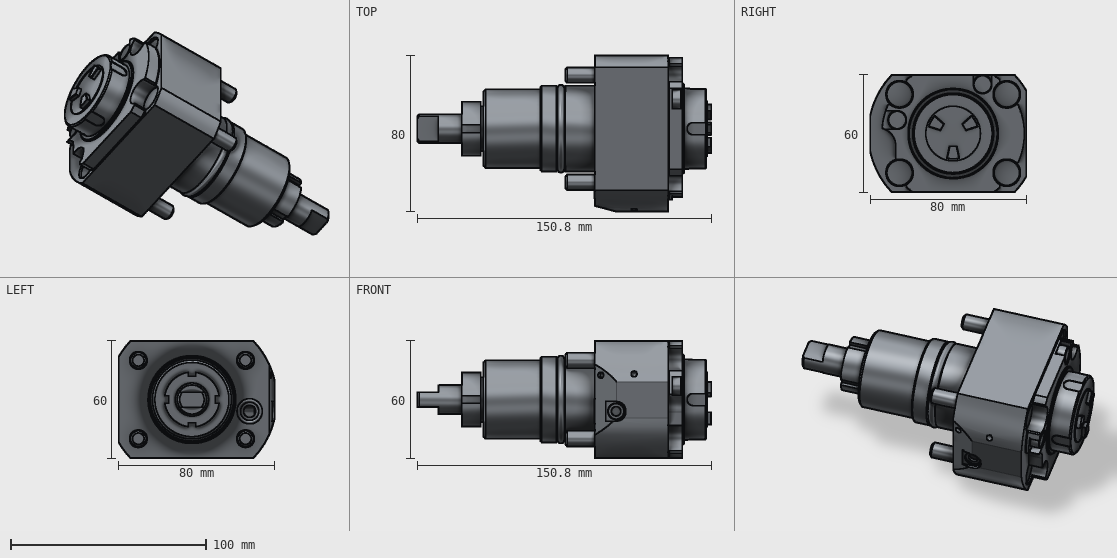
import cadquery as cq
import math


TOTAL_LENGTH = 150.8

BLOCK_LENGTH = 37.5
BLOCK_HEIGHT = 60.0
BLOCK_BACK_Y = 37.5
BLOCK_FRONT_Y = -42.5
FRONT_FLAT_HEIGHT = 18.4
BLOCK_RADIUS = math.hypot(BLOCK_FRONT_Y, FRONT_FLAT_HEIGHT / 2)
FACET_LENGTH = 11.0
FACET_ANGLE = 15

SLEEVE_START = -57.2
SLEEVE_DIAMETER = 40.4
SLEEVE_CHAMFER = 1.2
PILOT_START = -27.9
PILOT_DIAMETER = 44.0
PILOT_CHAMFER = 0.8
GROOVE_START = -19.8
GROOVE_END = -15.1
ORING_SECTION = 3.5
ORING_DIAMETER = 45.1
SPINDLE_BORE = 21.7

FLANGE_END = 44.8
FLANGE_RADIUS = 36.5
FLANGE_GAP_WIDTH = 0.5
FLANGE_GAP_DEPTH = 0.5
FLANGE_FLAT_Y = -29.4
FLANGE_FLAT_TOP_Z = -6.2
FLANGE_FLAT_FILLET = 9.0
CORNER_NOTCH_Y = 24.0
CORNER_NOTCH_Z = 14.8
LIP_DIAMETER = 46.3
LIP_LENGTH = 0.9
LIP_CHAMFER = 0.6

CAP_HEAD_DIAMETER = 9.5
CAP_HEAD_LENGTH = 4.8
CAP_HEAD_CHAMFER = 0.3
CAP_SEAT_X = 39.5
CAP_HEAD_CENTRES = [(15.1, 25.2), (-28.7, 7.0)]

SCREW_Y = 27.5
SCREW_Z = 20.0
SCREW_DIAMETER = 8.0
SCREW_TIP_DIAMETER = 5.9
SCREW_TIP_X = -15.2
SCREW_HOLE = 9.0
SCREW_HEAD_DIAMETER = 13.0
SCREW_HEAD_LENGTH = 8.0
SCREW_HEAD_BORE = 14.0
SCREW_SEAT_X = 28.7

INLET_Y = -29.5
INLET_Z = -6.0
INLET_RECESS_DIAMETER = 13.0
INLET_RECESS_DEPTH = 1.4
INLET_HOLE = 6.2
CROSS_HOLE = 7.0
CROSS_HOLE_START_Y = -32.0
CROSS_HOLE_END_Y = -25.6
SEAL_SECTION = 1.8

PLUG_X = 10.9
PLUG_SEAT_Y = -40.5
PLUG_SEAT_WIDTH = 10.1
PLUG_SEAT_LEFT = 5.5
PLUG_RIM_DIAMETER = 8.5
PLUG_DIAMETER = 8.0
PLUG_RECESS_DEPTH = 0.6
PLUG_SOCKET = 4.8
PLUG_SOCKET_DEPTH = 2.3
PIN_HOLE = 3.0
PIN_HOLE_DEPTH = 4.5
PIN_POINT_LENGTH = 0.9
FACET_PIN_X = 3.0
FACET_PIN_Z = 12.5
SIDE_PIN_X = 20.0
SIDE_PIN_Z = 13.1

SHAFT_TIP = -91.1
SHAFT_DIAMETER = 15.0
SHAFT_TIP_DIAMETER = 12.5
SHAFT_CHAMFER = 1.0
TANG_LENGTH = 10.9
TANG_THICKNESS = 7.7
COLLAR_START = -68.2
COLLAR_END = -58.4
COLLAR_DIAMETER = 28.0
COLLAR_BORE = 17.0
COLLAR_BORE_DEPTH = 1.0
NOTCH_WIDTH = 3.9
NOTCH_FLOOR_RADIUS = 11.9
NECK_DIAMETER = 23.0
NOSE_END = 57.2
NOSE_DIAMETER = 41.5
NOSE_CHAMFER = 0.8
SPANNER_WIDTH = 6.2
SPANNER_START = 47.2
SPANNER_FLOOR_RADIUS = 20.2
FACE_DIAMETER = 28.0
FACE_LENGTH = 0.5
JAW_END = SHAFT_TIP + TOTAL_LENGTH
JAW_OUTER_RADIUS = 13.0
JAW_INNER_RADIUS = 6.5
JAW_WIDTH = 6.5
JAW_INNER_WIDTH = 3.9
JAW_CHAMFER = 0.3

NOSE_START = FLANGE_END + LIP_LENGTH


def disc(x_start, x_end, diameter, y=0, z=0):
    """Cylinder along X from x_start to x_end, centred at (y, z)."""
    plane = cq.Workplane("YZ", origin=(x_start, y, z))
    return plane.circle(diameter / 2).extrude(x_end - x_start)


def ring(x, y, z, outer_diameter, section):
    """O-ring whose axis is parallel to X."""
    centre_radius = (outer_diameter - section) / 2
    centre = cq.Vector(x, y, z)
    return cq.Workplane(cq.Solid.makeTorus(centre_radius, section / 2, centre, cq.Vector(1, 0, 0)))


def block():
    width = BLOCK_BACK_Y - BLOCK_FRONT_Y
    middle_y = (BLOCK_BACK_Y + BLOCK_FRONT_Y) / 2
    box = cq.Workplane("XY").box(BLOCK_LENGTH, width, BLOCK_HEIGHT)
    box = box.translate((BLOCK_LENGTH / 2, middle_y, 0))
    return box.intersect(disc(0, BLOCK_LENGTH, 2 * BLOCK_RADIUS))


def facet_cut():
    """Wedge that slopes the -Y side back towards the rear face."""
    rise = FACET_LENGTH * math.tan(math.radians(FACET_ANGLE))
    corners = [(0, BLOCK_FRONT_Y), (FACET_LENGTH, BLOCK_FRONT_Y), (0, BLOCK_FRONT_Y + rise)]
    return cq.Workplane("XY").polyline(corners).close().extrude(BLOCK_HEIGHT / 2, both=True)


def sleeve():
    """Stepped sleeve behind the block, grooved for the large O-ring."""
    body = disc(SLEEVE_START, 0, SLEEVE_DIAMETER).faces("<X").chamfer(SLEEVE_CHAMFER)
    pilot = disc(PILOT_START, 0, PILOT_DIAMETER).faces("<X").chamfer(PILOT_CHAMFER)
    groove_floor = ORING_DIAMETER - 2 * ORING_SECTION
    groove = disc(GROOVE_START, GROOVE_END, PILOT_DIAMETER).cut(disc(GROOVE_START, GROOVE_END, groove_floor))
    return body.union(pilot).cut(groove)


def flange_disc(x_start, x_end, inset=0):
    """Round plate cut flat at the top and bottom, set in from the flange outline by inset."""
    length = x_end - x_start
    plate = disc(x_start, x_end, 2 * (FLANGE_RADIUS - inset))
    trim = cq.Workplane("XY").box(length, 2 * FLANGE_RADIUS, BLOCK_HEIGHT - 2 * inset)
    return plate.intersect(trim.translate((x_start + length / 2, 0, 0)))


def corner_notch(y_side, z_side):
    """Room for a mounting screw head: its bore, opened to the flange edge by two flat walls."""
    bore = disc(BLOCK_LENGTH, FLANGE_END, SCREW_HEAD_BORE, y_side * SCREW_Y, z_side * SCREW_Z)
    opening = cq.Workplane("YZ", origin=(BLOCK_LENGTH, 0, 0)).moveTo(y_side * SCREW_Y, z_side * SCREW_Z)
    opening = opening.lineTo(y_side * CORNER_NOTCH_Y, z_side * SCREW_Z)
    opening = opening.lineTo(y_side * CORNER_NOTCH_Y, z_side * FLANGE_RADIUS)
    opening = opening.lineTo(y_side * FLANGE_RADIUS, z_side * FLANGE_RADIUS)
    opening = opening.lineTo(y_side * FLANGE_RADIUS, z_side * CORNER_NOTCH_Z)
    opening = opening.lineTo(y_side * SCREW_Y, z_side * CORNER_NOTCH_Z)
    return bore.union(opening.close().extrude(FLANGE_END - BLOCK_LENGTH))


def flange_flat_cut():
    """Flat on the -Y side of the flange, running out upwards in a concave arc."""
    length = FLANGE_END - BLOCK_LENGTH
    flat = cq.Workplane("XY").box(length, FLANGE_RADIUS, FLANGE_RADIUS, centered=False)
    flat = flat.translate((BLOCK_LENGTH, FLANGE_FLAT_Y - FLANGE_RADIUS, FLANGE_FLAT_TOP_Z - FLANGE_RADIUS))
    arc_y = FLANGE_FLAT_Y - FLANGE_FLAT_FILLET
    return flat.union(disc(BLOCK_LENGTH, FLANGE_END, 2 * FLANGE_FLAT_FILLET, arc_y, FLANGE_FLAT_TOP_Z))


def flange():
    gap_end = BLOCK_LENGTH + FLANGE_GAP_WIDTH
    plate = flange_disc(BLOCK_LENGTH, gap_end, FLANGE_GAP_DEPTH).union(flange_disc(gap_end, FLANGE_END))
    for y_side in (-1, 1):
        for z_side in (-1, 1):
            plate = plate.cut(corner_notch(y_side, z_side))
    plate = plate.cut(flange_flat_cut())
    for y, z in CAP_HEAD_CENTRES:
        plate = plate.cut(cap_head_pocket(y, z)).union(cap_head(y, z))
    lip = disc(FLANGE_END, NOSE_START, LIP_DIAMETER).faces(">X").chamfer(LIP_CHAMFER)
    return plate.union(lip)


def cap_head(y, z):
    head = disc(CAP_SEAT_X, CAP_SEAT_X + CAP_HEAD_LENGTH, CAP_HEAD_DIAMETER, y, z)
    return head.faces(">X").chamfer(CAP_HEAD_CHAMFER)


def cap_head_pocket(y, z):
    """Head-wide slot from the screw out through the nearest side of the flange."""
    reach = 2 * CAP_HEAD_DIAMETER
    side_angle = 90 if z > abs(y) else 180
    slot = cq.Workplane("YZ", origin=(CAP_SEAT_X, 0, 0)).center(reach / 2, 0)
    slot = slot.rect(reach, CAP_HEAD_DIAMETER).extrude(FLANGE_END - CAP_SEAT_X)
    slot = slot.rotate((0, 0, 0), (1, 0, 0), side_angle).translate((0, y, z))
    return slot.union(disc(CAP_SEAT_X, FLANGE_END, CAP_HEAD_DIAMETER, y, z))


def inlet_cut():
    """Recess and hole on the rear face, leading into a short cross hole behind the plug."""
    recess = disc(0, INLET_RECESS_DEPTH, INLET_RECESS_DIAMETER, INLET_Y, INLET_Z)
    hole = disc(0, PLUG_X, INLET_HOLE, INLET_Y, INLET_Z)
    cross = cq.Workplane("XZ", origin=(PLUG_X, CROSS_HOLE_START_Y, INLET_Z))
    cross = cross.circle(CROSS_HOLE / 2).extrude(CROSS_HOLE_START_Y - CROSS_HOLE_END_Y)
    return recess.union(hole).union(cross)


def plug_cut():
    """Flat seat, round on its +X side, with the plug's recess and socket sunk into it."""
    seat_depth = PLUG_SEAT_Y - BLOCK_FRONT_Y
    seat_plane = cq.Workplane("XZ", origin=(PLUG_X, PLUG_SEAT_Y, INLET_Z))
    seat = seat_plane.circle(PLUG_SEAT_WIDTH / 2).extrude(seat_depth)
    square = seat_plane.center(-PLUG_SEAT_LEFT / 2, 0).rect(PLUG_SEAT_LEFT, PLUG_SEAT_WIDTH)
    square = square.extrude(seat_depth)
    recess = cq.Workplane(
        cq.Solid.makeCone(
            PLUG_RIM_DIAMETER / 2,
            PLUG_DIAMETER / 2,
            PLUG_RECESS_DEPTH,
            cq.Vector(PLUG_X, PLUG_SEAT_Y, INLET_Z),
            cq.Vector(0, 1, 0),
        )
    )
    socket = seat_plane.circle(PLUG_SOCKET / 2).extrude(-PLUG_SOCKET_DEPTH)
    return seat.union(square).union(recess).union(socket)


def pin_hole(mouth, axis):
    """Drilled hole with a conical point."""
    radius = PIN_HOLE / 2
    straight = cq.Solid.makeCylinder(radius, PIN_HOLE_DEPTH, mouth, axis)
    point = cq.Solid.makeCone(radius, 0, PIN_POINT_LENGTH, mouth + axis * PIN_HOLE_DEPTH, axis)
    return cq.Workplane(straight).union(cq.Workplane(point))


def pin_hole_cuts():
    """One hole square to the sloping facet and one along Y in the round side."""
    slope = math.radians(FACET_ANGLE)
    facet_y = BLOCK_FRONT_Y + (FACET_LENGTH - FACET_PIN_X) * math.tan(slope)
    facet_axis = cq.Vector(math.sin(slope), math.cos(slope), 0)
    facet_hole = pin_hole(cq.Vector(FACET_PIN_X, facet_y, FACET_PIN_Z), facet_axis)
    side_hole = pin_hole(cq.Vector(SIDE_PIN_X, BLOCK_FRONT_Y, SIDE_PIN_Z), cq.Vector(0, 1, 0))
    return facet_hole.union(side_hole)


def make_housing():
    body = block().cut(facet_cut()).union(sleeve()).union(flange())
    body = body.cut(disc(SLEEVE_START, NOSE_START, SPINDLE_BORE))
    for y in (-SCREW_Y, SCREW_Y):
        for z in (-SCREW_Z, SCREW_Z):
            body = body.cut(disc(0, SCREW_SEAT_X, SCREW_HOLE, y, z))
            body = body.cut(disc(SCREW_SEAT_X, BLOCK_LENGTH, SCREW_HEAD_BORE, y, z))
    return body.cut(inlet_cut()).cut(plug_cut()).cut(pin_hole_cuts())


def make_screw(y, z):
    tip_step = (SCREW_DIAMETER - SCREW_TIP_DIAMETER) / 2
    shank = disc(SCREW_TIP_X, SCREW_SEAT_X, SCREW_DIAMETER, y, z)
    shank = shank.faces("<X").chamfer(tip_step)
    head = disc(SCREW_SEAT_X, SCREW_SEAT_X + SCREW_HEAD_LENGTH, SCREW_HEAD_DIAMETER, y, z)
    return shank.union(head)


def shaft():
    """Shaft with a flat-sided driving tang at its tip."""
    body = disc(SHAFT_TIP, COLLAR_END, SHAFT_DIAMETER)
    body = body.faces("<X").chamfer(SHAFT_CHAMFER, (SHAFT_DIAMETER - SHAFT_TIP_DIAMETER) / 2)
    tang = cq.Workplane("XY").box(TANG_LENGTH, SHAFT_DIAMETER, TANG_THICKNESS)
    tang = tang.translate((SHAFT_TIP + TANG_LENGTH / 2, 0, 0))
    return body.cut(disc(SHAFT_TIP, SHAFT_TIP + TANG_LENGTH, SHAFT_DIAMETER).cut(tang))


def collar():
    """Notched collar, recessed at the rear around a conical shoulder of the shaft."""
    body = disc(COLLAR_START, COLLAR_END, COLLAR_DIAMETER)
    bore_floor = COLLAR_START + COLLAR_BORE_DEPTH
    shoulder = cq.Solid.makeCone(
        SHAFT_DIAMETER / 2,
        COLLAR_BORE / 2,
        COLLAR_BORE_DEPTH,
        cq.Vector(COLLAR_START, 0, 0),
        cq.Vector(1, 0, 0),
    )
    body = body.cut(disc(COLLAR_START, bore_floor, COLLAR_BORE).cut(cq.Workplane(shoulder)))
    length = COLLAR_END - COLLAR_START
    depth = COLLAR_DIAMETER / 2 - NOTCH_FLOOR_RADIUS
    notch = cq.Workplane("XY").box(length, NOTCH_WIDTH, depth)
    notch = notch.translate((COLLAR_START + length / 2, 0, NOTCH_FLOOR_RADIUS + depth / 2))
    for i in range(4):
        body = body.cut(notch.rotate((0, 0, 0), (1, 0, 0), 90 * i))
    return body


def nose():
    """Front nut with four round-ended spanner flats."""
    body = disc(NOSE_START, NOSE_END, NOSE_DIAMETER).faces(">X").chamfer(NOSE_CHAMFER)
    round_x = SPANNER_START + SPANNER_WIDTH / 2
    plane = cq.Workplane("XY", origin=(round_x, 0, SPANNER_FLOOR_RADIUS))
    flat = plane.circle(SPANNER_WIDTH / 2).extrude(NOSE_DIAMETER)
    run = NOSE_END - round_x
    flat = flat.union(plane.center(run / 2, 0).rect(run, SPANNER_WIDTH).extrude(NOSE_DIAMETER))
    for i in range(4):
        body = body.cut(flat.rotate((0, 0, 0), (1, 0, 0), 90 * i))
    return body.union(disc(NOSE_END, NOSE_END + FACE_LENGTH, FACE_DIAMETER))


def jaws():
    """Three driving jaws, narrower towards the axis, spaced evenly around the end face."""
    start = NOSE_END + FACE_LENGTH
    half = JAW_WIDTH / 2
    corner_z = -math.sqrt(JAW_OUTER_RADIUS**2 - half**2)
    jaw = cq.Workplane("YZ", origin=(start, 0, 0)).moveTo(-half, corner_z)
    jaw = jaw.threePointArc((0, -JAW_OUTER_RADIUS), (half, corner_z))
    jaw = jaw.lineTo(JAW_INNER_WIDTH / 2, -JAW_INNER_RADIUS).lineTo(-JAW_INNER_WIDTH / 2, -JAW_INNER_RADIUS)
    jaw = jaw.close().extrude(JAW_END - start)
    jaw = jaw.faces(">X").edges("%LINE").edges("not(|Y)").chamfer(JAW_CHAMFER)
    return [jaw.rotate((0, 0, 0), (1, 0, 0), 120 * i) for i in range(3)]


def make_spindle():
    body = shaft().union(collar()).union(disc(COLLAR_END, SLEEVE_START, NECK_DIAMETER))
    body = body.union(disc(SLEEVE_START, NOSE_START, SPINDLE_BORE)).union(nose())
    for jaw in jaws():
        body = body.union(jaw)
    return body


housing = make_housing()
spindle = make_spindle()
sleeve_oring = ring((GROOVE_START + GROOVE_END) / 2, 0, 0, ORING_DIAMETER, ORING_SECTION)
inlet_oring_x = INLET_RECESS_DEPTH - SEAL_SECTION / 2
inlet_oring = ring(inlet_oring_x, INLET_Y, INLET_Z, INLET_RECESS_DIAMETER, SEAL_SECTION)
screws = [make_screw(y, z) for y in (-SCREW_Y, SCREW_Y) for z in (-SCREW_Z, SCREW_Z)]

result = cq.Compound.makeCompound(
    [housing.val(), spindle.val(), sleeve_oring.val(), inlet_oring.val(), *[screw.val() for screw in screws]]
)